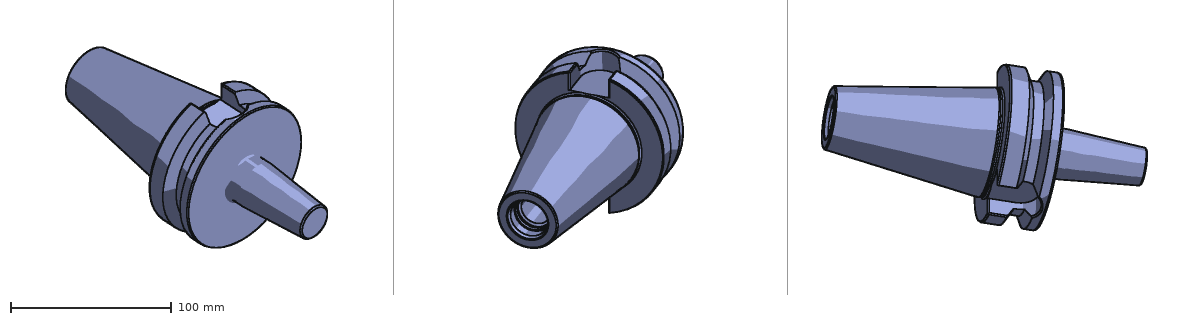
import cadquery as cq
import math


gauge_radius = 69.85 / 2
shank_length = 101.8
shank_end_x = -shank_length
taper_slope = 7 / 48
shank_end_radius = gauge_radius - shank_length * taper_slope
shank_end_chamfer = 0.8

relief_start_x = -0.5
relief_floor_start_x = 0.7
relief_floor_end_x = 1.9
relief_radius = gauge_radius - 0.5
relief_root_radius = 35.5

flange_radius = 50.0
flange_front_x = 3.0
flange_back_x = 38.0
flange_edge_length = 1.2
flange_edge_depth = 0.5
groove_radius = 42.5
groove_center_x = 23.2
groove_floor_width = 6.7
groove_flank_angle = 30.0
groove_flank_length = (flange_radius - groove_radius) * math.tan(math.radians(groove_flank_angle))
groove_floor_start_x = groove_center_x - groove_floor_width / 2
groove_floor_end_x = groove_center_x + groove_floor_width / 2

nose_radius = 16.0
nose_fillet = 2.0
nose_taper_start_x = 49.0
nose_end_x = 100.0
nose_taper_angle = 4.5
nose_end_radius = nose_radius - (nose_end_x - nose_taper_start_x) * math.tan(math.radians(nose_taper_angle))
nose_end_chamfer = 1.0

slot_width = 25.7
slot_floor_height = 35.2
slot_end_x = 34.2
slot_edge_chamfer = 1.0

bore_mouth_radius = 14.15
bore_mouth_inner_radius = 13.5
bore_mouth_depth = 0.4
pilot_radius = 12.5
pilot_start_depth = 2.7
pilot_end_depth = 9.2
counterbore_radius = 12.0
counterbore_start_depth = 9.7
counterbore_end_depth = 12.4
hole_lead_radius = 11.5
hole_radius = 9.9
hole_lead_depth = 13.2
hole_start_depth = 14.5
hole_end_depth = 45.0
drill_tip_angle = 118.0


def make_body():
    """Turn the outer profile of shank, flange and nose."""
    relief_start_radius = gauge_radius + relief_start_x * taper_slope
    fillet_mid = nose_fillet * (1 - math.sqrt(0.5))
    profile = (
        cq.Workplane("XY")
        .moveTo(shank_end_x, 0)
        .lineTo(shank_end_x, shank_end_radius - shank_end_chamfer)
        .lineTo(shank_end_x + shank_end_chamfer, shank_end_radius + shank_end_chamfer * taper_slope)
        .lineTo(relief_start_x, relief_start_radius)
        .lineTo(relief_floor_start_x, relief_radius)
        .lineTo(relief_floor_end_x, relief_radius)
        .lineTo(flange_front_x, relief_root_radius)
        .lineTo(flange_front_x, flange_radius - flange_edge_depth)
        .lineTo(flange_front_x + flange_edge_length, flange_radius)
        .lineTo(groove_floor_start_x - groove_flank_length, flange_radius)
        .lineTo(groove_floor_start_x, groove_radius)
        .lineTo(groove_floor_end_x, groove_radius)
        .lineTo(groove_floor_end_x + groove_flank_length, flange_radius)
        .lineTo(flange_back_x - flange_edge_length, flange_radius)
        .lineTo(flange_back_x, flange_radius - flange_edge_depth)
        .lineTo(flange_back_x, nose_radius + nose_fillet)
        .threePointArc(
            (flange_back_x + fillet_mid, nose_radius + fillet_mid),
            (flange_back_x + nose_fillet, nose_radius),
        )
        .lineTo(nose_taper_start_x, nose_radius)
        .lineTo(nose_end_x, nose_end_radius)
        .lineTo(nose_end_x, 0)
        .close()
    )
    body = profile.revolve(360, (0, 0, 0), (1, 0, 0))
    return body.faces(">X").edges().chamfer(nose_end_chamfer)


def make_bore():
    """Turn the stepped blind bore that enters the shank end."""
    tip_length = hole_radius / math.tan(math.radians(drill_tip_angle / 2))
    steps = [
        (0, bore_mouth_radius),
        (bore_mouth_depth, bore_mouth_inner_radius),
        (pilot_start_depth, pilot_radius),
        (pilot_end_depth, pilot_radius),
        (counterbore_start_depth, counterbore_radius),
        (counterbore_end_depth, counterbore_radius),
        (hole_lead_depth, hole_lead_radius),
        (hole_start_depth, hole_radius),
        (hole_end_depth, hole_radius),
        (hole_end_depth + tip_length, 0),
    ]
    profile = cq.Workplane("XY").moveTo(shank_end_x, 0)
    for depth, radius in steps:
        profile = profile.lineTo(shank_end_x + depth, radius)
    return profile.close().revolve(360, (0, 0, 0), (1, 0, 0))


def make_slot():
    """Round-ended slot, flared at the flange front, open outward and along the shank."""
    half_width = slot_width / 2
    flare_half_width = half_width + slot_edge_chamfer
    flare_end_x = flange_front_x + slot_edge_chamfer
    arc_center_x = slot_end_x - half_width
    return (
        cq.Workplane("XY", origin=(0, 0, slot_floor_height))
        .moveTo(0, -flare_half_width)
        .lineTo(flange_front_x, -flare_half_width)
        .lineTo(flare_end_x, -half_width)
        .lineTo(arc_center_x, -half_width)
        .threePointArc((slot_end_x, 0), (arc_center_x, half_width))
        .lineTo(flare_end_x, half_width)
        .lineTo(flange_front_x, flare_half_width)
        .lineTo(0, flare_half_width)
        .close()
        .extrude(flange_radius)
    )


def slot_rim_edges(body):
    """Find the edges where the slots break through the outer flange surface."""
    tolerance = 0.05
    rim_height = math.sqrt(flange_radius**2 - (slot_width / 2) ** 2)
    found = []
    for edge in body.edges().vals():
        box = edge.BoundingBox()
        inside_slot = max(abs(box.ymin), abs(box.ymax)) < slot_width / 2 + tolerance
        at_rim = min(abs(box.zmin), abs(box.zmax)) > rim_height - tolerance
        if inside_slot and at_rim:
            found.append(edge)
    return body.newObject(found)


def cut_slots(body):
    """Cut two opposite drive slots and chamfer their outer rims."""
    slot = make_slot()
    for turn in (0, 180):
        body = body.cut(slot.rotate((0, 0, 0), (1, 0, 0), turn))
    return slot_rim_edges(body).chamfer(slot_edge_chamfer)


result = cut_slots(make_body().cut(make_bore()))